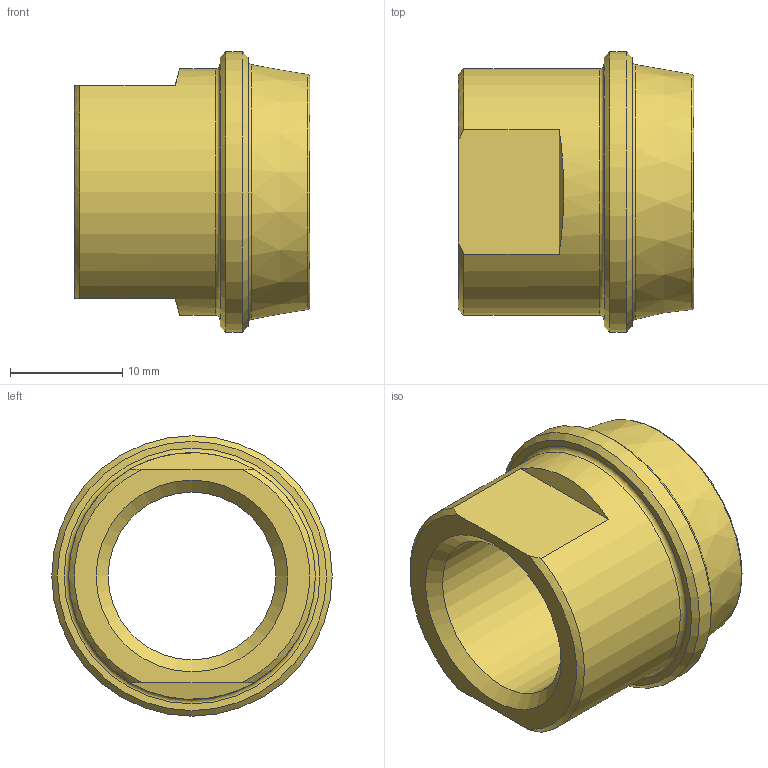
import cadquery as cq
import math

length = 21.0
bore_diameter = 14.95
body_diameter = 22.0
end_chamfer = 0.5

entry_diameter = 17.1
entry_half_angle = 45.0

collar_diameter = 25.0
collar_start = 13.0
collar_width = 2.5
collar_chamfer = 0.5
collar_end = collar_start + collar_width
collar_fillet = 0.4

nose_end_diameter = 20.9
nose_half_angle = 10.0
nose_edge_round = 0.2

across_flats = 19.0
flat_length = 9.0
flat_runout_angle = 15.0


def make_outer_body():
    """Revolve the outer profile, in (x, radius) coordinates, about the X axis."""
    body_radius = body_diameter / 2
    collar_radius = collar_diameter / 2
    nose_end_radius = nose_end_diameter / 2
    nose_start_radius = nose_end_radius + (length - collar_end) * math.tan(math.radians(nose_half_angle))
    profile = (
        cq.Workplane("XY")
        .moveTo(0, 0)
        .lineTo(0, body_radius - end_chamfer)
        .lineTo(end_chamfer, body_radius)
        .lineTo(collar_start, body_radius)
        .lineTo(collar_start, collar_radius - collar_chamfer)
        .lineTo(collar_start + collar_chamfer, collar_radius)
        .lineTo(collar_end - collar_chamfer, collar_radius)
        .lineTo(collar_end, collar_radius - collar_chamfer)
        .lineTo(collar_end, nose_start_radius)
        .lineTo(length, nose_end_radius)
        .lineTo(length, 0)
        .close()
    )
    solid = profile.revolve(360, (0, 0, 0), (1, 0, 0))
    solid = round_circle(solid, collar_start, body_radius, collar_fillet)
    solid = round_circle(solid, collar_end, nose_start_radius, collar_fillet)
    return round_circle(solid, length, nose_end_radius, nose_edge_round)


def round_circle(solid, x, radius, round_radius):
    """Fillet the circular edge of the given radius that lies at the given x."""
    margin = 0.01
    selector = cq.selectors.BoxSelector(
        (x - margin, -radius - margin, -radius - margin),
        (x + margin, radius + margin, radius + margin),
        boundingbox=True,
    )
    return solid.edges(selector).fillet(round_radius)


def make_bore():
    """Through bore with its conical entry at x = 0."""
    bore_radius = bore_diameter / 2
    entry_radius = entry_diameter / 2
    entry_depth = (entry_radius - bore_radius) / math.tan(math.radians(entry_half_angle))
    return (
        cq.Workplane("XY")
        .moveTo(0, 0)
        .lineTo(0, entry_radius)
        .lineTo(entry_depth, bore_radius)
        .lineTo(length, bore_radius)
        .lineTo(length, 0)
        .close()
        .revolve(360, (0, 0, 0), (1, 0, 0))
    )


def make_flat_cutter():
    """Block that cuts the upper flat and ends in a sloping shoulder."""
    flat_height = across_flats / 2
    cutter_height = collar_diameter / 2
    runout = (cutter_height - flat_height) * math.tan(math.radians(flat_runout_angle))
    return (
        cq.Workplane("XZ")
        .moveTo(0, flat_height)
        .lineTo(flat_length, flat_height)
        .lineTo(flat_length + runout, cutter_height)
        .lineTo(0, cutter_height)
        .close()
        .extrude(body_diameter / 2, both=True)
    )


upper_flat = make_flat_cutter()
lower_flat = upper_flat.mirror("XY")
result = make_outer_body().cut(make_bore()).cut(upper_flat).cut(lower_flat)